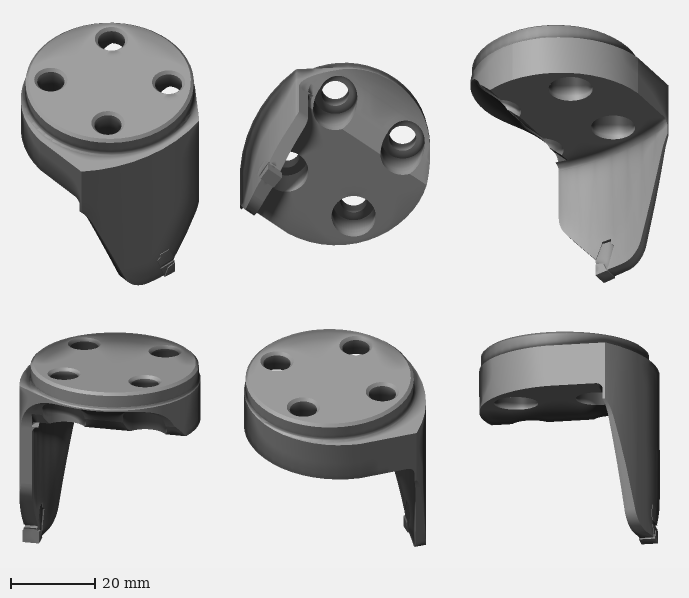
import cadquery as cq
import math

disc_radius = 40.0 / 2
disc_chamfer_height = 0.6
disc_chamfer_width = 0.7
disc_bottom_z = -3.5
flare_radius = 0.85

plate_top_z = disc_bottom_z - flare_radius
plate_bottom_z = -14.35
back_radius = 20.35
front_flat_y = -22.65
front_flat_right_x = 14.2
outer_wall_x = 22.2
outer_wall_radius = 36.2
back_corner = (21.0, 9.45)
back_corner_round = 0.95

arm_inner_x = 18.7
arm_inner_radius = 52.8
arm_root_fillet = 1.6
arm_bottom_z = -47.4
arm_back_y = 9.85
arm_back_bend_z = -31.95
arm_back_bend_radius = 8.0
arm_tip_y = -3.05
arm_front_corner_y = -11.9
arm_tip_round = 6.0
arm_front_end = (-20.65, -21.8)
arm_shoulder_z = -18.25

relief_radius = 10.2
relief_top_z = -4.55
relief_chamfer_start_y = 6.8
relief_chamfer_size = 3.85

hole_diameter = 6.5
hole_spacing = 19.8
countersink_diameter = 7.85
counterbore_diameter = 10.5
counterbore_top_z = -4.75

insert_inner_x = 18.85
insert_outer_x = 22.25
tip_inner_x = 18.5
tip_outer_x = 22.45
groove_floor_x = 21.9
groove_top_z = -43.5
tip_top_z = -44.4
insert_bottom_z = -48.0
insert_top_z = -39.55
insert_heel = (arm_tip_y, -47.7)
insert_edge_y = 0.15
insert_back_top_y = -1.6
insert_front_top_y = -4.2
pocket_roof_rise = 0.5
insert_outline = [
    (insert_back_top_y, insert_top_z),
    (insert_front_top_y, insert_top_z),
    (insert_front_top_y, -40.45),
    (-5.05, -41.25),
    (arm_tip_y, arm_bottom_z),
    insert_heel,
    (insert_edge_y, insert_bottom_z),
    (insert_edge_y, -44.45),
    (0.4, -44.05),
]
tip_outline = [
    (insert_edge_y, -44.95),
    (-1.75, -45.2),
    (-2.05, -45.45),
    (arm_tip_y + 0.15, arm_bottom_z),
    insert_heel,
    (insert_edge_y, insert_bottom_z),
]

reach = 57.6


def prism_along_x(outline, start_x, end_x):
    """Closed (Y, Z) outline extruded from start_x to end_x."""
    plane = cq.Workplane("YZ", origin=(start_x, 0, 0))
    return plane.polyline(outline).close().extrude(end_x - start_x)


def make_footprint():
    """Outer outline of the plate and arm, from the top face down to the arm tip."""
    front_arc_radius = (back_radius**2 + front_flat_y**2) / (2 * back_radius)
    front_arc_x = front_arc_radius - back_radius
    front_arc_mid = (
        front_arc_x - front_arc_radius * math.cos(math.pi / 4),
        -front_arc_radius * math.sin(math.pi / 4),
    )
    corner_x, corner_y = back_corner
    tangent_angle = math.atan2(corner_y, corner_x) + math.acos(back_radius / math.hypot(corner_x, corner_y))
    tangent_point = (back_radius * math.cos(tangent_angle), back_radius * math.sin(tangent_angle))
    back_mid_angle = (tangent_angle + math.pi) / 2
    back_mid = (back_radius * math.cos(back_mid_angle), back_radius * math.sin(back_mid_angle))
    solid = (
        cq.Workplane("XY")
        .moveTo(-back_radius, 0)
        .threePointArc(front_arc_mid, (0, front_flat_y))
        .lineTo(front_flat_right_x, front_flat_y)
        .threePointArc((outer_wall_x, 0), back_corner)
        .lineTo(*tangent_point)
        .threePointArc(back_mid, (-back_radius, 0))
        .close()
        .extrude(arm_bottom_z)
    )
    corner_edge = cq.selectors.NearestToPointSelector((corner_x, corner_y, arm_bottom_z / 2))
    return solid.edges(corner_edge).fillet(back_corner_round)


def make_underside_space():
    """Space below the plate and inside the arm, rounded at the arm root."""
    height = plate_bottom_z - arm_bottom_z
    return (
        cq.Workplane("XY", origin=(arm_inner_x - arm_inner_radius, 0, arm_bottom_z))
        .circle(arm_inner_radius)
        .extrude(height)
        .faces(">Z")
        .edges()
        .fillet(arm_root_fillet)
    )


def make_side_profile():
    """Plate and arm outline in Y and Z, as wide as the part."""
    relief_center_y = arm_back_y + relief_radius
    relief_center_z = relief_top_z - relief_radius
    diagonal = relief_radius * math.sin(math.pi / 4)
    profile = (
        cq.Workplane("YZ", origin=(-reach / 2, 0, 0))
        .moveTo(front_flat_y, plate_top_z)
        .lineTo(relief_center_y + back_radius, plate_top_z)
        .lineTo(relief_center_y + back_radius, relief_top_z)
        .lineTo(relief_center_y, relief_top_z)
        .threePointArc(
            (relief_center_y - diagonal, relief_center_z + diagonal),
            (arm_back_y, relief_center_z),
        )
        .lineTo(arm_back_y, arm_back_bend_z)
        .lineTo(arm_tip_y, arm_bottom_z)
        .lineTo(arm_front_corner_y, arm_bottom_z)
        .lineTo(*arm_front_end)
        .tangentArcPoint((front_flat_y, arm_shoulder_z), relative=False)
        .close()
        .extrude(reach)
    )
    bend = cq.selectors.NearestToPointSelector((0, arm_back_y, arm_back_bend_z))
    tip = cq.selectors.NearestToPointSelector((0, arm_front_corner_y, arm_bottom_z))
    return profile.edges(bend).fillet(arm_back_bend_radius).edges(tip).fillet(arm_tip_round)


def make_back_chamfer():
    """Slanted cut under the back of the plate, ending at the inner wall of the arm."""
    end_y = relief_chamfer_start_y + relief_chamfer_size
    wedge = prism_along_x(
        [
            (relief_chamfer_start_y, plate_bottom_z),
            (end_y, plate_bottom_z + relief_chamfer_size),
            (end_y, plate_bottom_z),
        ],
        -reach / 2,
        reach / 2,
    )
    inside_arm = (
        cq.Workplane("XY", origin=(arm_inner_x - arm_inner_radius, 0, plate_bottom_z))
        .circle(arm_inner_radius)
        .extrude(relief_chamfer_size)
    )
    return wedge.intersect(inside_arm)


def make_disc():
    """Locating disc with a chamfered top and a concave flare at its foot."""
    flare_offset = flare_radius * (1 - math.cos(math.pi / 4))
    flare_end_radius = disc_radius + flare_radius
    return (
        cq.Workplane("XZ")
        .lineTo(disc_radius - disc_chamfer_width, 0)
        .lineTo(disc_radius, -disc_chamfer_height)
        .lineTo(disc_radius, disc_bottom_z)
        .threePointArc(
            (disc_radius + flare_offset, plate_top_z + flare_offset),
            (flare_end_radius, plate_top_z),
        )
        .lineTo(0, plate_top_z)
        .close()
        .revolve(360, (0, 0, 0), (0, 1, 0))
    )


def make_screw_holes():
    """Four through holes, countersunk above and counterbored below."""
    hole_radius = hole_diameter / 2
    countersink_radius = countersink_diameter / 2
    countersink_depth = countersink_radius - hole_radius
    counterbore_radius = counterbore_diameter / 2
    cutter = (
        cq.Workplane("XZ")
        .lineTo(countersink_radius, 0)
        .lineTo(hole_radius, -countersink_depth)
        .lineTo(hole_radius, counterbore_top_z)
        .lineTo(counterbore_radius, counterbore_top_z)
        .lineTo(counterbore_radius, plate_bottom_z)
        .lineTo(0, plate_bottom_z)
        .close()
        .revolve(360, (0, 0, 0), (0, 1, 0))
        .val()
    )
    centers = cq.Workplane("XY").rect(hole_spacing, hole_spacing, forConstruction=True).vertices()
    return centers.eachpoint(lambda place: cutter.moved(place), combine=True)


def make_insert_pocket():
    """Opening through the arm for the insert, its roof rising towards the inside."""
    opening = prism_along_x(insert_outline, 0, reach / 2)
    roof = (
        cq.Workplane("XZ", origin=(0, insert_back_top_y, 0))
        .moveTo(insert_outer_x, insert_top_z)
        .lineTo(tip_inner_x, insert_top_z + pocket_roof_rise)
        .lineTo(0, insert_top_z + pocket_roof_rise)
        .lineTo(0, insert_top_z)
        .close()
        .extrude(insert_back_top_y - insert_front_top_y)
    )
    return opening.union(roof)


def make_holder():
    """One-piece holder: disc, plate and arm."""
    footprint = make_footprint()
    holder = footprint.intersect(make_side_profile()).cut(make_underside_space())
    holder = holder.cut(make_back_chamfer())
    disc = make_disc().intersect(footprint)
    return holder.union(disc).cut(make_screw_holes()).cut(make_insert_pocket())


def limit_outer_side(body, outer_x):
    """Trim a body to an arc concentric with the outer wall, reaching outer_x at Y = 0."""
    center_x = outer_wall_x - outer_wall_radius
    limit = (
        cq.Workplane("XY", origin=(center_x, 0, insert_bottom_z))
        .circle(outer_x - center_x)
        .extrude(-insert_bottom_z)
    )
    return body.intersect(limit)


def make_insert():
    """Cutting insert with a raised tip and a groove above it on the outer side."""
    blade = prism_along_x(insert_outline, insert_inner_x, insert_outer_x)
    blade = limit_outer_side(blade, insert_outer_x)
    tip = prism_along_x(tip_outline, tip_inner_x, tip_outer_x)
    tip = limit_outer_side(tip, tip_outer_x)
    groove_height = groove_top_z - tip_top_z
    groove = cq.Workplane("XY").box(reach, reach, groove_height, centered=(False, True, False))
    groove = groove.translate((groove_floor_x, 0, tip_top_z))
    return blade.union(tip).cut(groove)


holder = make_holder()
insert = make_insert()
result = cq.Compound.makeCompound([holder.solids().val(), insert.solids().val()])